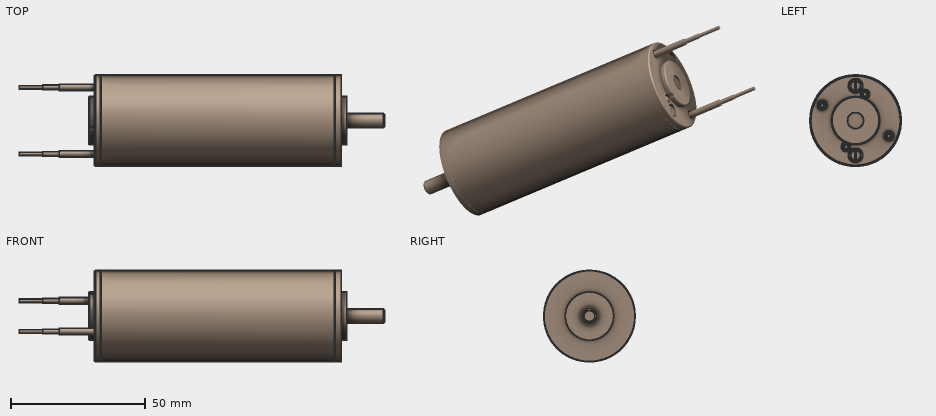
import cadquery as cq

total_length = 136.1

housing_diameter = 34.0
housing_start = 28.0
housing_end = 119.9
rear_edge_chamfer = 0.4
cap_length = 2.2
joint_groove_width = 0.4
joint_groove_depth = 0.1

boss_diameter = 18.0
boss_height = 2.0
rear_boss_chamfer = 0.3
bearing_recess_diameter = 6.0
bearing_recess_depth = 0.7

shaft_diameter = 5.5
shaft_chamfer = 0.7

screw_radius_from_axis = 12.9
screw_hole_diameter = 5.5
screw_hole_depth = 2.0
screw_head_diameter = 5.0
screw_head_chamfer = 0.7
screw_head_gap = 0.4
screw_slot_width = 0.5
screw_slot_depth = 0.7

pin_y = 3.5
pin_z = 9.8
pin_diameter = 2.3
pin_chamfer = 0.4

clearance_diameter = 3.5
clearance_depth = 1.4

wire_y = 12.4
wire_z = 5.7
wire_sections = [
    (1.4, 0.0),
    (1.8, 8.8),
    (2.5, 15.0),
]

boss_start = housing_start - boss_height
boss_end = housing_end + boss_height
screw_hole_floor = housing_start + screw_hole_depth
clearance_floor = housing_start + clearance_depth


def rod(diameter, start, end, y=0.0, z=0.0):
    """Cylinder along X from start to end, centred on (y, z)."""
    profile = cq.Workplane("YZ", origin=(start, y, z)).circle(diameter / 2)
    return profile.extrude(end - start)


def joint_groove(start):
    """Ring that marks the joint between an end cap and the housing tube."""
    end = start + joint_groove_width
    core = rod(housing_diameter - 2 * joint_groove_depth, start, end)
    return rod(housing_diameter + 2 * joint_groove_depth, start, end).cut(core)


def slotted_screw(z):
    """Screw head with a bevelled rim and a slot along Z."""
    head_top = housing_start + screw_head_gap
    head = rod(screw_head_diameter, head_top, screw_hole_floor, z=z)
    head = head.faces("<X").chamfer(screw_head_chamfer)
    slot = cq.Workplane(origin=(head_top, 0, z)).box(
        2 * screw_slot_depth, screw_slot_width, screw_head_diameter
    )
    return head.cut(slot)


def pin(y, z):
    """Short pin with a bevelled end, standing in its clearance hole."""
    body = rod(pin_diameter, housing_start, clearance_floor, y, z)
    return body.faces("<X").chamfer(pin_chamfer)


def lead_wire(y, z):
    """Wire whose sections grow from the bare tip to the housing."""
    wire = cq.Workplane()
    for diameter, start in wire_sections:
        wire = wire.union(rod(diameter, start, clearance_floor, y, z))
    return wire


result = rod(housing_diameter, housing_start, housing_end)
result = result.faces("<X").chamfer(rear_edge_chamfer)
for groove_start in (housing_start + cap_length, housing_end - cap_length - joint_groove_width):
    result = result.cut(joint_groove(groove_start))

bosses = rod(boss_diameter, boss_start, boss_end).faces("<X").chamfer(rear_boss_chamfer)
result = result.union(bosses)
result = result.cut(rod(bearing_recess_diameter, boss_start, boss_start + bearing_recess_depth))
shaft = rod(shaft_diameter, housing_end, total_length)
result = result.union(shaft.faces(">X").chamfer(shaft_chamfer))

for side in (1, -1):
    screw_z = side * screw_radius_from_axis
    pin_place = (-side * pin_y, side * pin_z)
    wire_place = (side * wire_y, side * wire_z)

    result = result.cut(rod(screw_hole_diameter, housing_start, screw_hole_floor, z=screw_z))
    for place in (pin_place, wire_place):
        result = result.cut(rod(clearance_diameter, boss_start, clearance_floor, *place))

    result = result.union(slotted_screw(screw_z))
    result = result.union(pin(*pin_place))
    result = result.union(lead_wire(*wire_place))